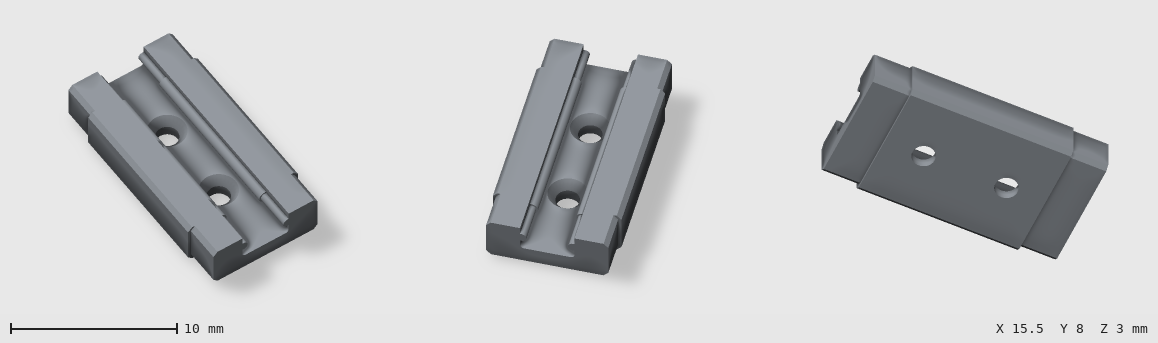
import cadquery as cq

length = 15.5
width = 8.0
height = 3.0
edge_chamfer = 0.3

end_length = 2.42
end_relief = 0.2
middle_length = length - 2 * end_length

channel_width = 3.38
floor_height = 1.27
floor_fillet = 0.23

bead_height = 2.2
bead_offset = 0.1
bead_radius = 0.4
end_bead_radius = 0.3
bead_overlap = 0.15

hole_spacing = 5.5
hole_diameter = 1.47
countersink_diameter = 2.45
seat_diameter = 1.78
countersink_depth = 0.37
seat_depth = 0.19


def body(body_length, relief):
    """Chamfered block; the relief trims its sides and bottom."""
    return (
        cq.Workplane("XY")
        .workplane(offset=relief)
        .box(body_length, width - 2 * relief, height - relief, centered=(True, True, False))
        .edges("|X")
        .chamfer(edge_chamfer)
    )


def channel():
    """Channel cutter with rounded floor corners."""
    return (
        cq.Workplane("XY")
        .workplane(offset=floor_height)
        .box(length, channel_width, height, centered=(True, True, False))
        .edges("|X and <Z")
        .fillet(floor_fillet)
    )


def bead(side, bead_length, radius):
    """Round-nosed bead on one wall; side is +1 or -1 along Y."""
    root = side * (channel_width / 2 + bead_overlap)
    axis = side * (channel_width / 2 - bead_offset)
    tip = axis - side * radius
    return (
        cq.Workplane("YZ")
        .moveTo(root, bead_height - radius)
        .lineTo(axis, bead_height - radius)
        .threePointArc((tip, bead_height), (axis, bead_height + radius))
        .lineTo(root, bead_height + radius)
        .close()
        .extrude(bead_length / 2, both=True)
    )


def cone(x, top_z, top_diameter, bottom_diameter, depth):
    """Downward-narrowing conical cutter."""
    return (
        cq.Workplane("XY", origin=(x, 0, top_z))
        .circle(top_diameter / 2)
        .workplane(offset=-depth)
        .circle(bottom_diameter / 2)
        .loft(ruled=True)
    )


result = body(length, end_relief).union(body(middle_length, 0)).cut(channel())

for side in (-1, 1):
    result = result.union(bead(side, length, end_bead_radius))
    result = result.union(bead(side, middle_length, bead_radius))

for x in (-hole_spacing / 2, hole_spacing / 2):
    bore = cq.Workplane("XY").center(x, 0).circle(hole_diameter / 2).extrude(floor_height)
    sink = cone(x, floor_height, countersink_diameter, seat_diameter, countersink_depth)
    seat = cone(x, floor_height - countersink_depth, seat_diameter, hole_diameter, seat_depth)
    result = result.cut(bore).cut(sink).cut(seat)